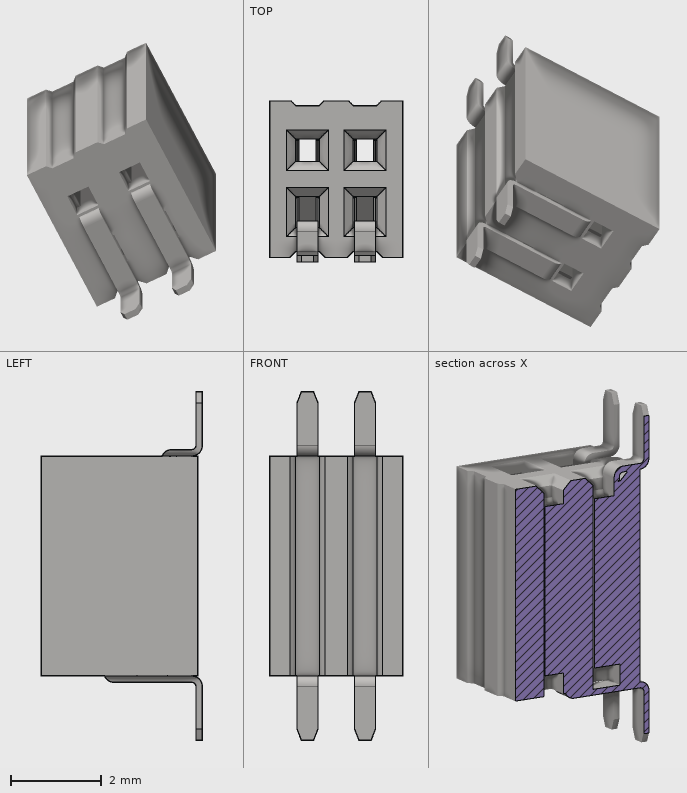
import cadquery as cq
import math

BODY_WIDTH = 2.94
BODY_DEPTH = 3.46
BODY_HEIGHT = 4.85
BODY_FRONT = -BODY_DEPTH / 2
BODY_BACK = BODY_DEPTH / 2
BODY_TOP = BODY_HEIGHT / 2

PITCH = 1.27
COLUMNS = (-PITCH / 2, PITCH / 2)
BACK_ROW_INSET = 1.09
BACK_ROW = BODY_BACK - BACK_ROW_INSET
FRONT_ROW = BACK_ROW - PITCH

GROOVE_FLOOR_WIDTH = 0.52
BACK_GROOVE_DEPTH = 0.105
FRONT_GROOVE_DEPTH = 0.13

CHANNEL_WIDTH = 0.52
CHANNEL_LENGTH = 0.49
MOUTH_FLARE = 0.2
FRONT_ROW_EXTENSION = 0.19

STRIP_THICKNESS = 0.145
LEG_WIDTH = 0.47
INNER_RADIUS = 0.09
OUTER_RADIUS = INNER_RADIUS + STRIP_THICKNESS
TOTAL_HEIGHT = 7.7
TOTAL_DEPTH = 3.56
LEG_END = TOTAL_HEIGHT / 2
LEG_FRONT = BODY_BACK - TOTAL_DEPTH
TIP_WIDTH = 0.27
TIP_LENGTH = 0.255

TINE_DEPTH = 0.47
TINE_LEAD_IN = 0.12
TINE_TOP_THICKNESS = 0.03
TINE_SPACING = 0.37
TINE_THICKNESS = (CHANNEL_WIDTH - TINE_SPACING) / 2
TINE_BACK_GAP = 0.02

STRIP_OFFSET = CHANNEL_LENGTH / 2 + FRONT_ROW_EXTENSION


def groove(x, wall, depth):
    """Full-height groove with 45 degree flanks; wall is the Y of the face it is cut into."""
    inward = -math.copysign(depth, wall)
    half_floor = GROOVE_FLOOR_WIDTH / 2
    half_mouth = half_floor + depth
    outline = [
        (x - half_mouth, wall),
        (x - half_floor, wall + inward),
        (x + half_floor, wall + inward),
        (x + half_mouth, wall),
    ]
    return cq.Workplane("XY").workplane(offset=-BODY_TOP).polyline(outline).close().extrude(BODY_HEIGHT)


def socket(x, row, extension):
    """Through channel and flared mouth, lengthened toward the front by extension."""
    length = CHANNEL_LENGTH + extension
    y = row - extension / 2
    channel = cq.Workplane("XY").box(CHANNEL_WIDTH, length, BODY_HEIGHT).translate((x, y, 0))
    mouth = (
        cq.Workplane("XY")
        .workplane(offset=BODY_TOP)
        .center(x, y)
        .rect(CHANNEL_WIDTH + 2 * MOUTH_FLARE, length + 2 * MOUTH_FLARE)
        .workplane(offset=-MOUTH_FLARE)
        .rect(CHANNEL_WIDTH, length)
        .loft(ruled=True)
    )
    return channel.union(mouth)


def upward_leg(x, row):
    """Strip rising from inside the housing, bent forward over its top and up into a tapered leg."""
    strip_front = row - STRIP_OFFSET
    strip_back = strip_front + STRIP_THICKNESS
    leg_back = LEG_FRONT + STRIP_THICKNESS
    strip_bottom = TINE_DEPTH - BODY_TOP
    shelf_top = BODY_TOP + STRIP_THICKNESS
    half_leg = LEG_WIDTH / 2
    diagonal = math.sqrt(0.5)

    exit_y = strip_front - INNER_RADIUS
    exit_z = BODY_TOP - INNER_RADIUS
    rise_y = leg_back + INNER_RADIUS
    rise_z = shelf_top + INNER_RADIUS
    inner = INNER_RADIUS * diagonal
    outer = OUTER_RADIUS * diagonal

    leg = (
        cq.Workplane("YZ")
        .moveTo(strip_back, strip_bottom)
        .lineTo(strip_back, exit_z)
        .threePointArc((exit_y + outer, exit_z + outer), (exit_y, shelf_top))
        .lineTo(rise_y, shelf_top)
        .threePointArc((rise_y - inner, rise_z - inner), (leg_back, rise_z))
        .lineTo(leg_back, LEG_END)
        .lineTo(LEG_FRONT, LEG_END)
        .lineTo(LEG_FRONT, rise_z)
        .threePointArc((rise_y - outer, rise_z - outer), (rise_y, BODY_TOP))
        .lineTo(exit_y, BODY_TOP)
        .threePointArc((exit_y + inner, exit_z + inner), (strip_front, exit_z))
        .lineTo(strip_front, strip_bottom)
        .close()
        .extrude(half_leg, both=True)
    )

    half_tip = TIP_WIDTH / 2
    front_outline = [
        (-half_leg, strip_bottom),
        (-half_leg, LEG_END - TIP_LENGTH),
        (-half_tip, LEG_END),
        (half_tip, LEG_END),
        (half_leg, LEG_END - TIP_LENGTH),
        (half_leg, strip_bottom),
    ]
    envelope = cq.Workplane("XZ").polyline(front_outline).close().extrude(TOTAL_DEPTH, both=True)
    return leg.intersect(envelope).translate((x, 0, 0))


def downward_leg(x, row):
    """The same contact leg leaving through the underside."""
    return upward_leg(x, row).mirror("XY")


def tines(x, row):
    """Pair of spring tines with sloped lead-ins, reaching from the strip toward the back wall."""
    top = BODY_TOP - TINE_DEPTH
    wall = CHANNEL_WIDTH / 2
    back = row + CHANNEL_LENGTH / 2 - TINE_BACK_GAP
    length = back - (row - STRIP_OFFSET)
    outline = [
        (wall, -top),
        (wall, top),
        (wall - TINE_TOP_THICKNESS, top),
        (wall - TINE_THICKNESS, top - TINE_LEAD_IN),
        (wall - TINE_THICKNESS, -top),
    ]
    right_tine = cq.Workplane("XZ", origin=(0, back, 0)).polyline(outline).close().extrude(length)
    return right_tine.union(right_tine.mirror("YZ")).translate((x, 0, 0))


result = cq.Workplane("XY").box(BODY_WIDTH, BODY_DEPTH, BODY_HEIGHT)

for column in COLUMNS:
    result = result.cut(groove(column, BODY_BACK, BACK_GROOVE_DEPTH))
    result = result.cut(groove(column, BODY_FRONT, FRONT_GROOVE_DEPTH))
    result = result.cut(socket(column, BACK_ROW, 0))
    result = result.cut(socket(column, FRONT_ROW, FRONT_ROW_EXTENSION))

for column in COLUMNS:
    result = result.union(tines(column, BACK_ROW))
    result = result.union(tines(column, FRONT_ROW))
    result = result.union(upward_leg(column, FRONT_ROW))
    result = result.union(downward_leg(column, BACK_ROW))